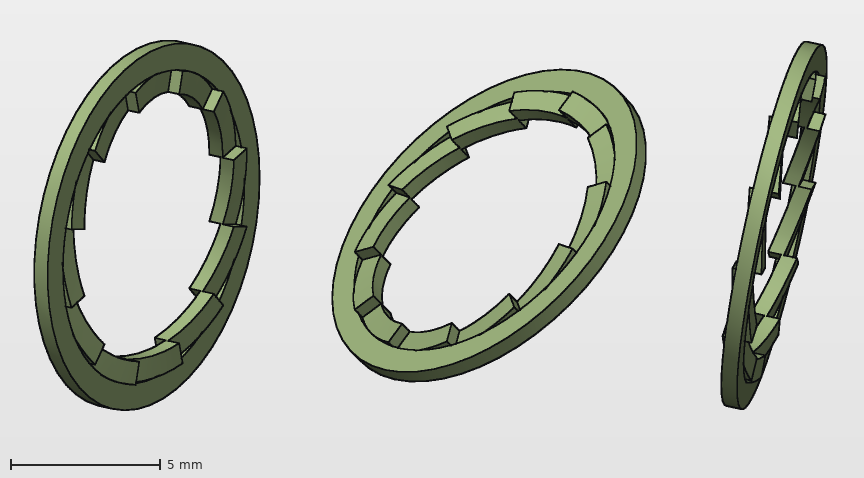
import cadquery as cq

outer_diameter = 12.5
ring_inner_diameter = 10.69
tip_diameter = 9.1
ring_thickness = 0.55
overall_width = 1.0
tooth_count = 12

tooth_pitch_angle = 360 / tooth_count
tooth_rise = overall_width - ring_thickness
radial_margin = 0.25

axis = (1, 0, 0)


def make_tube(outer_dia, inner_dia, width):
    """Tube around the X axis, centred on X = 0."""
    return (
        cq.Workplane("YZ", origin=(-width / 2, 0, 0))
        .circle(outer_dia / 2)
        .circle(inner_dia / 2)
        .extrude(width)
    )


def make_tooth():
    """One right-handed helical blade, centred on the washer plane and on +Z."""
    path_radius = (ring_inner_diameter + tip_diameter) / 4
    blade_depth = (ring_inner_diameter - tip_diameter) / 2 + 2 * radial_margin
    path = cq.Wire.makeHelix(tooth_rise * tooth_count, tooth_rise, path_radius)
    blade = (
        cq.Workplane("XZ")
        .center(path_radius, 0)
        .rect(blade_depth, ring_thickness)
        .sweep(cq.Workplane(obj=path), isFrenet=True)
    )
    half_angle = tooth_pitch_angle / 2
    blade = blade.rotate((0, 0, 0), (0, 0, 1), -half_angle).translate((0, 0, -tooth_rise / 2))
    blade_frame = cq.Plane(origin=(0, 0, 0), xDir=(0, 0, 1), normal=axis)
    blade = cq.Workplane(obj=blade.val().moved(cq.Location(blade_frame)))
    envelope = make_tube(ring_inner_diameter, tip_diameter, 2 * overall_width)
    return blade.intersect(envelope)


result = make_tube(outer_diameter, ring_inner_diameter, ring_thickness)
tooth = make_tooth()
for index in range(tooth_count):
    result = result.union(tooth.rotate((0, 0, 0), axis, index * tooth_pitch_angle))